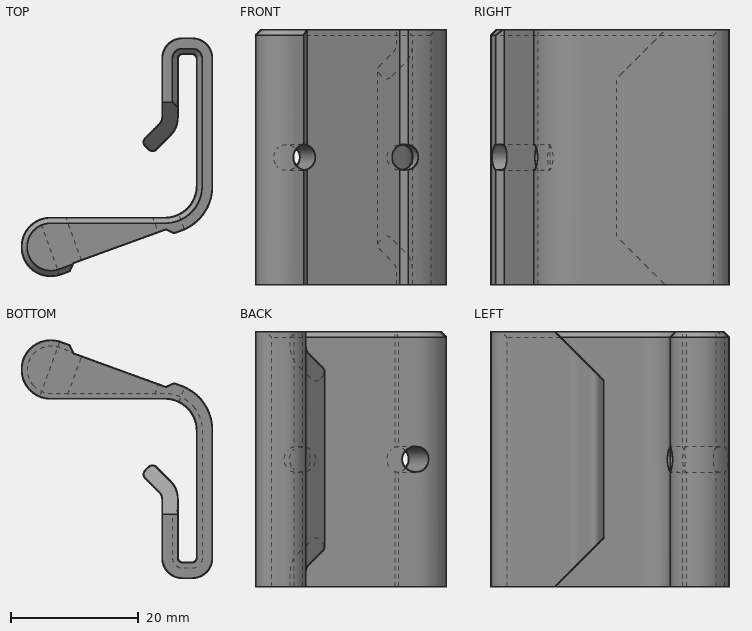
import math

import cadquery as cq

HEIGHT = 40.0
WALL = 2.5
KNOB_R = 4.6
OVERALL_X = 29.92
OVERALL_Y = 37.3

FRONT_ANGLE = 20.0
HOOK_OUTER_R = 3.2
HOOK_WIDTH = 7.9
LIP_INNER_R = 1.5
LIP_BEND_Y = 20.3
LIP_ANGLE = 45.0
LIP_LENGTH = 4.0
LIP_TIP_R = 0.85

LIP_CUT_Y = 22.7
RIM_CHAMFER = 0.88

RECESS_DEPTH = 1.0
RECESS_START = 2.46
RECESS_END = 17.87
HOLE_D = 4.0
HOLE_OUTSET = 0.69
HOLE_REACH = 6.0

right_x = OVERALL_X - KNOB_R
top_y = OVERALL_Y - KNOB_R
wall_inner_x = right_x - WALL
arm_outer_x = right_x - HOOK_WIDTH
arm_inner_x = arm_outer_x + WALL
hook_inner_r = HOOK_OUTER_R - WALL

front_sin = math.sin(math.radians(FRONT_ANGLE))
front_cos = math.cos(math.radians(FRONT_ANGLE))
bend_inner_r = (wall_inner_x * front_sin - KNOB_R * (1 + front_cos) + WALL) / (front_sin + front_cos - 1)
bend_outer_r = bend_inner_r + WALL
bend_center = (wall_inner_x - bend_inner_r, KNOB_R + bend_inner_r)

lip_outer_r = LIP_INNER_R + WALL
hook_center_y = top_y - HOOK_OUTER_R

hook_right_center = (right_x - HOOK_OUTER_R, hook_center_y)
hook_left_center = (arm_outer_x + HOOK_OUTER_R, hook_center_y)
lip_center = (arm_outer_x - LIP_INNER_R, LIP_BEND_Y)


def polar(center, radius, angle):
    """Point at an angle (degrees from +X) on a circle."""
    a = math.radians(angle)
    return (center[0] + radius * math.cos(a), center[1] + radius * math.sin(a))


def add_arc(path, center, radius, start, end):
    """Draw a line to the start of an arc, then the arc itself."""
    path = path.lineTo(*polar(center, radius, start))
    middle = polar(center, radius, (start + end) / 2)
    return path.threePointArc(middle, polar(center, radius, end))


def lip_tip_center(bend_radius):
    """Center of a tip rounding, set in from the lip side that has this bend radius."""
    side_end = polar(lip_center, bend_radius, -LIP_ANGLE)
    return polar(side_end, LIP_LENGTH - LIP_TIP_R, -LIP_ANGLE - 90)


def make_strip():
    """Extrude the clip outline: knob, plate, tall wall, hook and flared lip."""
    front_normal = FRONT_ANGLE - 90
    tip_outer = lip_tip_center(lip_outer_r - LIP_TIP_R)
    tip_inner = lip_tip_center(LIP_INNER_R + LIP_TIP_R)
    tip_direction = -LIP_ANGLE - 90

    path = cq.Workplane("XY").moveTo(0, KNOB_R)
    path = path.threePointArc((-KNOB_R, 0), polar((0, 0), KNOB_R, front_normal))
    path = add_arc(path, bend_center, bend_outer_r, front_normal, 0)
    path = add_arc(path, hook_right_center, HOOK_OUTER_R, 0, 90)
    path = add_arc(path, hook_left_center, HOOK_OUTER_R, 90, 180)
    path = add_arc(path, lip_center, LIP_INNER_R, 0, -LIP_ANGLE)
    path = add_arc(path, tip_inner, LIP_TIP_R, tip_direction - 90, tip_direction)
    path = add_arc(path, tip_outer, LIP_TIP_R, tip_direction, tip_direction + 90)
    path = add_arc(path, lip_center, lip_outer_r, -LIP_ANGLE, 0)
    path = add_arc(path, hook_left_center, hook_inner_r, 180, 90)
    path = add_arc(path, hook_right_center, hook_inner_r, 90, 0)
    path = add_arc(path, bend_center, bend_inner_r, 0, -90)
    return path.close().extrude(HEIGHT)


def cut_lip_corner(body, end_z, direction):
    """Cut a 45 degree corner off the arm and lip at one Z end."""
    cut_low_y = bend_center[1]
    leg = LIP_CUT_Y - cut_low_y
    width = (arm_inner_x + wall_inner_x) / 2
    triangle = [
        (LIP_CUT_Y, end_z),
        (cut_low_y, end_z),
        (cut_low_y, end_z + direction * leg),
    ]
    return body.cut(cq.Workplane("YZ").polyline(triangle).close().extrude(width))


def in_front_frame(body):
    """Turn a body so that its X runs along the front face and its Y into the part."""
    return body.rotate((0, 0, 0), (0, 0, 1), FRONT_ANGLE)


def make_recess():
    """Full-height recess tool; its 45 degree sides open outwards."""
    floor = RECESS_DEPTH - KNOB_R
    depth = 2 * RECESS_DEPTH
    outline = [
        (RECESS_START, floor),
        (RECESS_END, floor),
        (RECESS_END + depth, floor - depth),
        (RECESS_START - depth, floor - depth),
    ]
    return in_front_frame(cq.Workplane("XY").polyline(outline).close().extrude(HEIGHT))


def make_holes():
    """Two hole tools square to the front face, at mid height by the recess ends."""
    places = [
        (RECESS_START - HOLE_OUTSET, HEIGHT / 2),
        (RECESS_END + HOLE_OUTSET, HEIGHT / 2),
    ]
    start_y = -2 * KNOB_R
    holes = (
        cq.Workplane("XZ", origin=(0, start_y, 0))
        .pushPoints(places)
        .circle(HOLE_D / 2)
        .extrude(start_y - HOLE_REACH)
    )
    return in_front_frame(holes)


def chamfer_inner_rim(body):
    """Chamfer the top rim from the hook arm around to the knob; it follows tangent edges."""
    mid_wall_point = (wall_inner_x, (bend_center[1] + hook_center_y) / 2, HEIGHT)
    return body.edges(cq.selectors.NearestToPointSelector(mid_wall_point)).chamfer(RIM_CHAMFER)


clip = make_strip()
clip = cut_lip_corner(clip, 0, 1)
clip = cut_lip_corner(clip, HEIGHT, -1)
clip = clip.cut(make_recess())
clip = chamfer_inner_rim(clip)
result = clip.cut(make_holes())